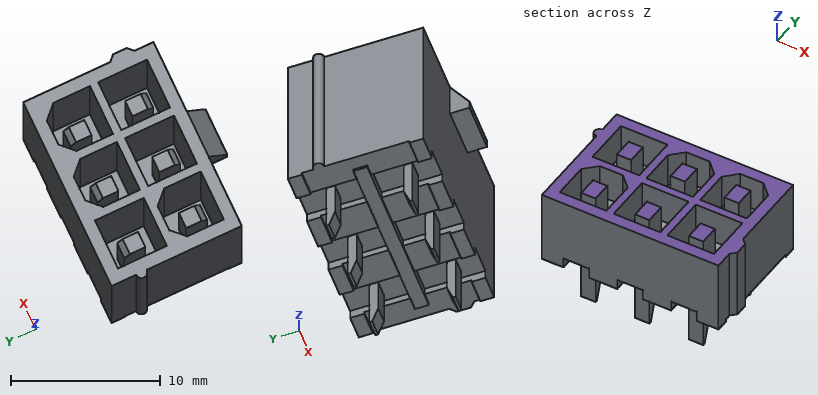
import cadquery as cq


total_height = 16.3
housing_width = 13.82
housing_depth = 9.62
pitch = 4.2
foot_bottom = 3.5
foot_height = 0.2
foot_depth = 1.0
housing_bottom = foot_bottom + foot_height
housing_height = total_height - housing_bottom

cavity_side = 3.6
cavity_corner = 0.9
cavity_depth = 9.78
cavity_floor = total_height - cavity_depth
end_wall = (housing_width - 2 * pitch - cavity_side) / 2

channel_width = 2.0
channel_height = 0.8

pin_width = 1.14
pin_depth = 1.55
tail_depth = 0.62
tail_tip_depth = 0.2
tail_taper_height = 1.3
pin_length = 5.87
pin_bevel_depth = 0.4
pin_bevel_height = 0.6
back_pin_face = 2.85
front_pin_face = -3.26

latch_width = 3.42
latch_reach = 1.39
latch_height = 3.03
latch_lip = 0.72

rib_reach = 0.39
round_rib_y = 2.6
key_rib_y = -2.51
key_rib_width = 1.8

columns = [-pitch, 0, pitch]
front_row = -pitch / 2
back_row = pitch / 2
keyed_cavities = [(-pitch, front_row), (0, back_row), (pitch, back_row)]


def box(width, depth, height, x, y, bottom):
    """Box centred on (x, y), standing on the given Z."""
    block = cq.Workplane("XY").box(width, depth, height, centered=(True, True, False))
    return block.translate((x, y, bottom))


def feet():
    """Front and back feet along the whole width, and a shorter one in the middle."""
    edge_y = (housing_depth - foot_depth) / 2
    front = box(housing_width, foot_depth, foot_height, 0, -edge_y, foot_bottom)
    back = box(housing_width, foot_depth, foot_height, 0, edge_y, foot_bottom)
    middle = box(housing_width - 2 * end_wall, foot_depth, foot_height, 0, 0, foot_bottom)
    return front.union(back).union(middle)


def round_rib():
    """Half-round rib along the -X end."""
    return (
        cq.Workplane("XY", origin=(-housing_width / 2, round_rib_y, housing_bottom))
        .circle(rib_reach)
        .extrude(housing_height)
    )


def key_rib():
    """Rib with 45 degree flanks along the +X end."""
    half_base = key_rib_width / 2
    half_tip = half_base - rib_reach
    return (
        cq.Workplane("XY", origin=(housing_width / 2, key_rib_y, housing_bottom))
        .polyline([(0, -half_base), (rib_reach, -half_tip), (rib_reach, half_tip), (0, half_base)])
        .close()
        .extrude(housing_height)
    )


def latch():
    """Ramp with a flat lip, at the top of the front face."""
    face = -housing_depth / 2
    bottom = total_height - latch_height
    tip = face - latch_reach
    return (
        cq.Workplane("YZ")
        .polyline([(face, total_height), (tip, bottom + latch_lip), (tip, bottom), (face, bottom)])
        .close()
        .extrude(latch_width / 2, both=True)
    )


def cavity(x, y):
    """Square cavity open at the top, with the two back corners cut off if it is keyed."""
    pocket = box(cavity_side, cavity_side, cavity_depth, x, y, cavity_floor)
    if (x, y) in keyed_cavities:
        pocket = pocket.edges("|Z and >Y").chamfer(cavity_corner)
    return pocket


def channel(x, side):
    """Channel from the front (side = -1) or back (side = 1) face to the middle foot."""
    length = (housing_depth - foot_depth) / 2
    y = side * (housing_depth - length) / 2
    return box(channel_width, length, channel_height, x, y, foot_bottom)


def pin(x, outer_face, side):
    """Pin with a bevelled top and a thinner tapered tail, both flush with the outer face."""
    top = cavity_floor + pin_length
    inner_face = outer_face - side * pin_depth
    tail_face = outer_face - side * tail_depth
    profile = [
        (outer_face, 0),
        (outer_face, top - pin_bevel_height),
        (outer_face - side * pin_bevel_depth, top),
        (inner_face, top),
        (inner_face, cavity_floor),
        (tail_face, cavity_floor),
        (tail_face, tail_taper_height),
        (outer_face - side * tail_tip_depth, 0),
    ]
    outline = cq.Workplane("YZ", origin=(x, 0, 0)).polyline(profile).close()
    return outline.extrude(pin_width / 2, both=True)


result = box(housing_width, housing_depth, housing_height, 0, 0, housing_bottom)
result = result.union(feet()).union(round_rib()).union(key_rib()).union(latch())

for column in columns:
    for row in (front_row, back_row):
        result = result.cut(cavity(column, row))
    for side in (-1, 1):
        result = result.cut(channel(column, side))

for column in columns:
    result = result.union(pin(column, front_pin_face, -1))
    result = result.union(pin(column, back_pin_face, 1))